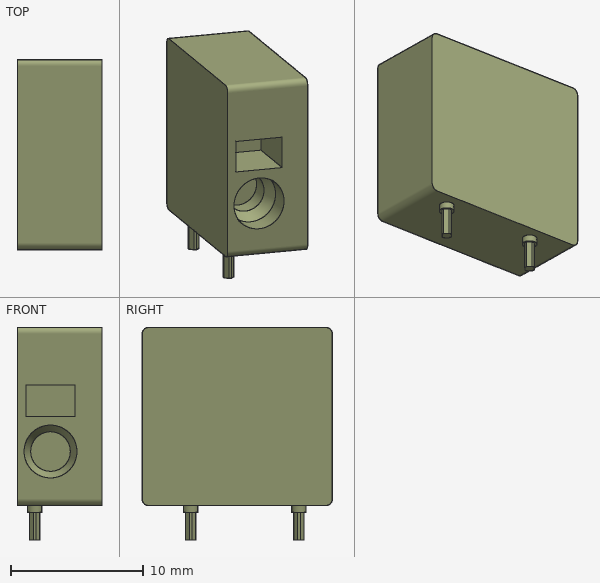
import cadquery as cq

housing_width = 6.4
housing_length = 14.4
housing_height = 13.5
edge_radius = 0.5

opening_x = -0.7
opening_depth = 5.0
front_y = -housing_length / 2

entry_z = 4.1
entry_diameter = 4.0
bore_diameter = 3.0
entry_depth = 2.0
cone_depth = 1.25

pocket_width = 3.7
pocket_height = 2.4
pocket_bottom_z = 6.75

total_height = 16.1
pin_length = total_height - housing_height
collar_diameter = 1.1
collar_height = 0.5
shank_width = 0.8
shank_chamfer = 0.3
pin_x = -1.9
front_pin_y = -3.53
pin_pitch = 8.2
pin_rows = [front_pin_y, front_pin_y + pin_pitch]


def make_wire_entry():
    """Cutting body for the wire entry, pointing along +Y from the front face."""
    profile = [
        (0, 0),
        (entry_diameter / 2, 0),
        (entry_diameter / 2, entry_depth),
        (bore_diameter / 2, entry_depth + cone_depth),
        (bore_diameter / 2, opening_depth),
        (0, opening_depth),
    ]
    entry = cq.Workplane("XY").polyline(profile).close().revolve(360, (0, 0), (0, 1))
    return entry.translate((opening_x, front_y, entry_z))


def make_release_pocket():
    """Cutting body for the rectangular pocket in the front face."""
    pocket = cq.Workplane("XY").box(
        pocket_width, opening_depth, pocket_height, centered=(True, False, False)
    )
    return pocket.translate((opening_x, front_y, pocket_bottom_z))


def make_housing():
    """Block with its four X-direction edges rounded and the two front openings cut."""
    block = cq.Workplane("XY").box(
        housing_width, housing_length, housing_height, centered=(True, True, False)
    )
    block = block.edges("|X").fillet(edge_radius)
    return block.cut(make_wire_entry()).cut(make_release_pocket())


def make_pin(y):
    """One solder pin whose collar top touches the underside of the housing."""
    collar = cq.Workplane("XY").circle(collar_diameter / 2).extrude(-collar_height)
    shank = cq.Workplane("XY").rect(shank_width, shank_width).extrude(-pin_length)
    shank = shank.edges("|Z").chamfer(shank_chamfer)
    return collar.union(shank).translate((pin_x, y, 0))


housing = make_housing()
pins = [make_pin(y) for y in pin_rows]

result = cq.Compound.makeCompound([housing.val(), *[pin.val() for pin in pins]])